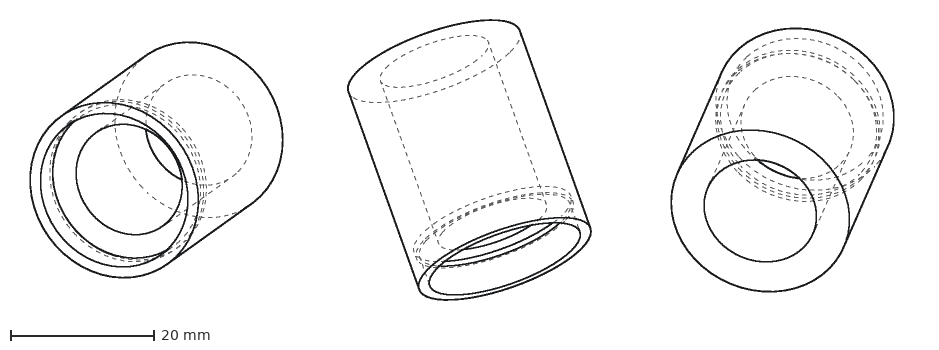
import cadquery as cq

length = 30.9
outer_diameter = 25.4
bore_diameter = 16.0

counterbore_diameter = 22.25
counterbore_depth = 5.47
groove_depth = 0.5
groove_width = 0.95

groove_diameter = counterbore_diameter + 2 * groove_depth
groove_start = counterbore_depth - groove_width


def cylinder_from_front(diameter, start, depth):
    """Cylinder along Y that begins `start` behind the -Y end and runs `depth` toward +Y."""
    return (
        cq.Workplane("XZ", origin=(0, start - length / 2, 0))
        .circle(diameter / 2)
        .extrude(-depth)
    )


body = cylinder_from_front(outer_diameter, 0, length)
bore = cylinder_from_front(bore_diameter, 0, length)
counterbore = cylinder_from_front(counterbore_diameter, 0, counterbore_depth)
groove = cylinder_from_front(groove_diameter, groove_start, groove_width)

result = body.cut(bore).cut(counterbore).cut(groove)